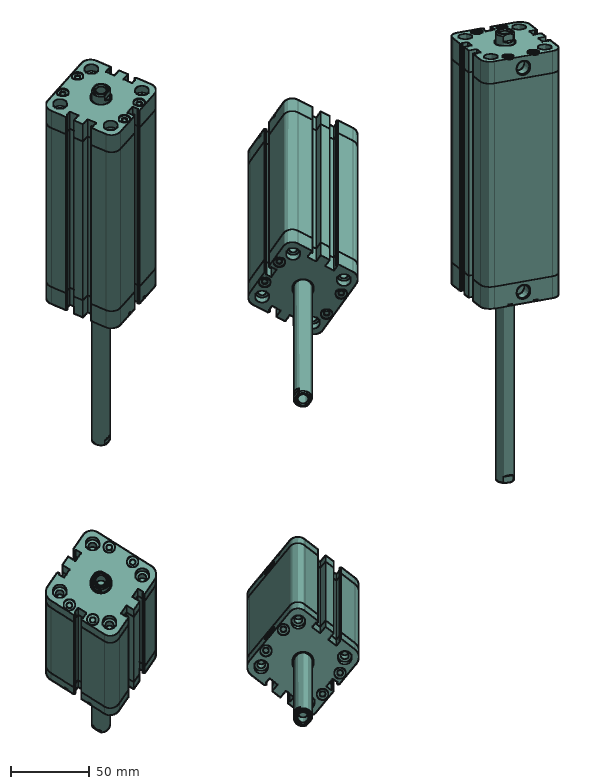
import cadquery as cq

ROD_LENGTH = 309.0
BODY_SIDE = 54.7
BODY_BOTTOM = 131.5
BODY_TOP = 302.0
CAP_HEIGHT = 15.0
CORNER_RADIUS = 6.8

SLOT_DEPTH = 5.5
LIP_THICKNESS = 1.5
RIB_HALF_WIDTH = 3.5
PAIR_MOUTH_EDGE = 9.0
PAIR_FLOOR_EDGE = 10.0
MOUTH_CHAMFER = 0.5
SINGLE_MOUTH = 4.5
SINGLE_FLOOR = 6.5

CORE_DIAMETER = 40.0
CAP_WALL = 3.0
ROD_DIAMETER = 12.0
ROD_BORE_RIM = 14.0
ROD_CHAMFER = 1.0
FLAT_WIDTH = 10.0
FLAT_LENGTH = 4.5
ROD_HOLE_DIAMETER = 6.8
ROD_HOLE_CHAMFER = 1.0
ROD_HOLE_DEPTH = 12.5

CORNER_SPACING = 38.0
CORNER_BORE = 9.0
CORNER_BORE_DEPTH = 6.0
CORNER_HOLE = 5.3
SCREW_X = 23.2
SCREW_Y = 9.0
SCREW_RECESS = 7.5
SCREW_RECESS_DEPTH = 1.0
SCREW_HOLE = 3.7
SCREW_HOLE_DEPTH = 2.0
PORT_DIAMETER = 8.5
PORT_CHAMFER = 0.5
PORT_INSET = 8.0

HALF_SIDE = BODY_SIDE / 2
CORNER_OFFSET = CORNER_SPACING / 2
CORE_BOTTOM = BODY_BOTTOM + CAP_WALL
CORE_TOP = BODY_TOP - CAP_WALL
BARREL_BOTTOM = BODY_BOTTOM + CAP_HEIGHT
BARREL_TOP = BODY_TOP - CAP_HEIGHT


def cylinder(diameter, bottom, top, x=0, y=0):
    return cq.Workplane("XY", origin=(x, y, bottom)).circle(diameter / 2).extrude(top - bottom)


def paired_slot(bottom, top):
    """T-slot with a lip on its outer edge only, on the +X half of the +Y side."""
    floor = HALF_SIDE - SLOT_DEPTH
    lip = HALF_SIDE - LIP_THICKNESS
    outline = [
        (RIB_HALF_WIDTH, HALF_SIDE),
        (RIB_HALF_WIDTH, floor),
        (PAIR_FLOOR_EDGE, floor),
        (PAIR_FLOOR_EDGE, lip),
        (PAIR_MOUTH_EDGE, lip),
        (PAIR_MOUTH_EDGE, HALF_SIDE - MOUTH_CHAMFER),
        (PAIR_MOUTH_EDGE + MOUTH_CHAMFER, HALF_SIDE),
    ]
    return cq.Workplane("XY", origin=(0, 0, bottom)).polyline(outline).close().extrude(top - bottom)


def single_slot(bottom, top):
    """T-slot with a lip on both edges, in the middle of the +X side."""
    floor = HALF_SIDE - SLOT_DEPTH
    lip = HALF_SIDE - LIP_THICKNESS
    half_mouth = SINGLE_MOUTH / 2
    half_floor = SINGLE_FLOOR / 2
    half_outline = [
        (HALF_SIDE, half_mouth + MOUTH_CHAMFER),
        (HALF_SIDE - MOUTH_CHAMFER, half_mouth),
        (lip, half_mouth),
        (lip, half_floor),
        (floor, half_floor),
    ]
    outline = half_outline + [(x, -y) for x, y in reversed(half_outline)]
    return cq.Workplane("XY", origin=(0, 0, bottom)).polyline(outline).close().extrude(top - bottom)


def profile(bottom, top):
    """Rounded square bar with the slots that run along the whole housing."""
    bar = (
        cq.Workplane("XY", origin=(0, 0, bottom))
        .rect(BODY_SIDE, BODY_SIDE)
        .extrude(top - bottom)
        .edges("|Z")
        .fillet(CORNER_RADIUS)
    )
    slot = paired_slot(bottom, top)
    slots_plus_y = slot.union(slot.mirror("YZ"))
    return bar.cut(slots_plus_y).cut(slots_plus_y.mirror("XZ")).cut(single_slot(bottom, top))


def bevel(diameter, size, rim, inward):
    """Cone that bevels the rim of a round hole; inward points into the hole."""
    cone = cq.Solid.makeCone(diameter / 2 + size, diameter / 2, size, cq.Vector(*rim), cq.Vector(*inward))
    return cq.Workplane(cone)


def port(z):
    """Bevelled port from the -X side into the core's cylindrical side."""
    hole = cq.Workplane("YZ", origin=(-HALF_SIDE, 0, z)).circle(PORT_DIAMETER / 2).extrude(HALF_SIDE)
    return hole.union(bevel(PORT_DIAMETER, PORT_CHAMFER, (-HALF_SIDE, 0, z), (1, 0, 0)))


def corner_hole(x, y):
    """Counterbored mounting hole through the top cap."""
    bore = cylinder(CORNER_BORE, BODY_TOP - CORNER_BORE_DEPTH, BODY_TOP, x, y)
    return bore.union(cylinder(CORNER_HOLE, BARREL_TOP, BODY_TOP, x, y))


def screw_recess(x, y):
    """Shallow stepped recess in the top cap, close to its side."""
    recess = cylinder(SCREW_RECESS, BODY_TOP - SCREW_RECESS_DEPTH, BODY_TOP, x, y)
    return recess.union(cylinder(SCREW_HOLE, BODY_TOP - SCREW_HOLE_DEPTH, BODY_TOP, x, y))


def make_cap(is_top):
    """End cap over one end of the core; the bottom cap mirrors the top one."""
    cap = profile(BARREL_TOP, BODY_TOP)
    cap = cap.cut(cylinder(CORE_DIAMETER, BARREL_TOP, CORE_TOP))
    cap = cap.cut(cylinder(ROD_DIAMETER, BARREL_TOP, BODY_TOP))
    rim_bevel = (ROD_BORE_RIM - ROD_DIAMETER) / 2
    cap = cap.cut(bevel(ROD_DIAMETER, rim_bevel, (0, 0, BODY_TOP), (0, 0, -1)))
    for x_side in (-1, 1):
        for y_side in (-1, 1):
            cap = cap.cut(corner_hole(x_side * CORNER_OFFSET, y_side * CORNER_OFFSET))
            cap = cap.cut(screw_recess(x_side * SCREW_X, y_side * SCREW_Y))
    cap = cap.cut(port(BODY_TOP - PORT_INSET))
    if is_top:
        return cap
    return cap.mirror("XY", (0, 0, (BODY_BOTTOM + BODY_TOP) / 2))


def make_barrel():
    return profile(BARREL_BOTTOM, BARREL_TOP).cut(cylinder(CORE_DIAMETER, BARREL_BOTTOM, BARREL_TOP))


def make_core():
    return cylinder(CORE_DIAMETER, CORE_BOTTOM, CORE_TOP).cut(cylinder(ROD_DIAMETER, CORE_BOTTOM, CORE_TOP))


def wrench_flat():
    """Cutter for the +X flat at the lower end of the rod, ending in a 45 degree run-out."""
    flat_x = FLAT_WIDTH / 2
    clear_x = ROD_DIAMETER
    outline = [
        (flat_x, 0),
        (clear_x, 0),
        (clear_x, FLAT_LENGTH + clear_x - flat_x),
        (flat_x, FLAT_LENGTH),
    ]
    return cq.Workplane("XZ").polyline(outline).close().extrude(ROD_DIAMETER / 2, both=True)


def make_rod():
    rod = cylinder(ROD_DIAMETER, 0, ROD_LENGTH).faces("<Z or >Z").chamfer(ROD_CHAMFER)
    flat = wrench_flat()
    hole = cylinder(ROD_HOLE_DIAMETER, 0, ROD_HOLE_DEPTH)
    hole = hole.union(bevel(ROD_HOLE_DIAMETER, ROD_HOLE_CHAMFER, (0, 0, 0), (0, 0, 1)))
    for cutter in (flat, flat.mirror("YZ"), hole):
        rod = rod.cut(cutter).cut(cutter.mirror("XY", (0, 0, ROD_LENGTH / 2)))
    return rod


caps = [make_cap(is_top).val() for is_top in (True, False)]
barrel = make_barrel()
core = make_core()
rod = make_rod()

result = cq.Compound.makeCompound([*caps, barrel.val(), core.val(), rod.val()])